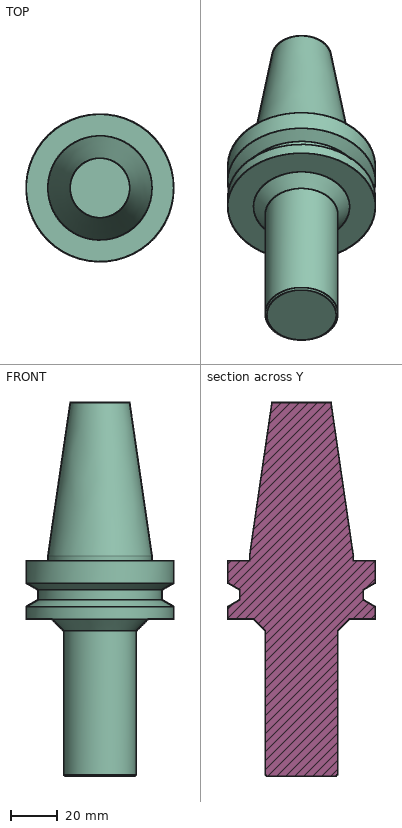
import cadquery as cq
import math

gauge_diameter = 44.45
taper_length = 65.4
taper_ratio = 7 / 24
taper_tip_diameter = gauge_diameter - taper_ratio * taper_length

flange_diameter = 63.0
flange_top = -2.0
flange_bottom = -27.0

groove_diameter = 53.0
groove_center = -16.6
groove_mouth_width = 10.0
groove_wall_angle = 30.0

nose_diameter = 31.0
nose_end = -94.0
nose_chamfer = 0.75
collar_diameter = 41.0
collar_height = (collar_diameter - nose_diameter) / 2


def revolve_profile(points):
    """Revolve a closed (radius, z) outline about the Z axis."""
    return cq.Workplane("XZ").polyline(points).close().revolve(360, (0, 0, 0), (0, 1, 0))


def make_body():
    """Taper, flange, conical collar and cylindrical nose, without the groove."""
    nose_radius = nose_diameter / 2
    return revolve_profile([
        (0, taper_length),
        (taper_tip_diameter / 2, taper_length),
        (gauge_diameter / 2, 0),
        (gauge_diameter / 2, flange_top),
        (flange_diameter / 2, flange_top),
        (flange_diameter / 2, flange_bottom),
        (collar_diameter / 2, flange_bottom),
        (nose_radius, flange_bottom - collar_height),
        (nose_radius, nose_end + nose_chamfer),
        (nose_radius - nose_chamfer, nose_end),
        (0, nose_end),
    ])


def make_groove():
    """Ring with sloped walls that cuts the V-groove into the flange rim."""
    groove_depth = (flange_diameter - groove_diameter) / 2
    half_mouth = groove_mouth_width / 2
    half_floor = half_mouth - groove_depth * math.tan(math.radians(groove_wall_angle))
    return revolve_profile([
        (groove_diameter / 2, groove_center + half_floor),
        (flange_diameter / 2, groove_center + half_mouth),
        (flange_diameter / 2, groove_center - half_mouth),
        (groove_diameter / 2, groove_center - half_floor),
    ])


result = make_body().cut(make_groove())